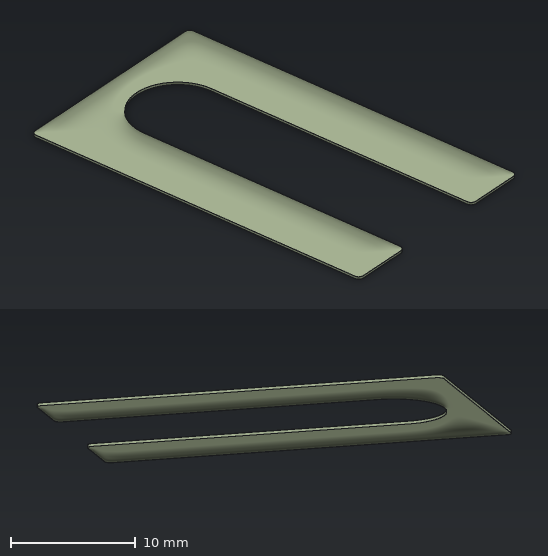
import cadquery as cq

length = 34.0
width = 20.0
thickness = 0.25
corner_radius = 0.5

slot_width = 8.5
web = 2.75

slot_radius = slot_width / 2
slot_center_x = -length / 2 + web + slot_radius
slot_straight = length / 2 - slot_center_x


def slot_cutter():
    """Straight channel with a round inner end."""
    round_end = cq.Workplane("XY").center(slot_center_x, 0).circle(slot_radius).extrude(thickness)
    channel = (
        cq.Workplane("XY")
        .center(slot_center_x + slot_straight / 2, 0)
        .rect(slot_straight, slot_width)
        .extrude(thickness)
    )
    return round_end.union(channel)


plate = cq.Workplane("XY").rect(length, width).extrude(thickness)
fork = plate.cut(slot_cutter())

closed_end_corners = fork.faces("<X").edges("|Z")
arm_tip_corners = fork.faces(">X").edges("|Z")
result = fork.newObject(closed_end_corners.vals() + arm_tip_corners.vals()).fillet(corner_radius)